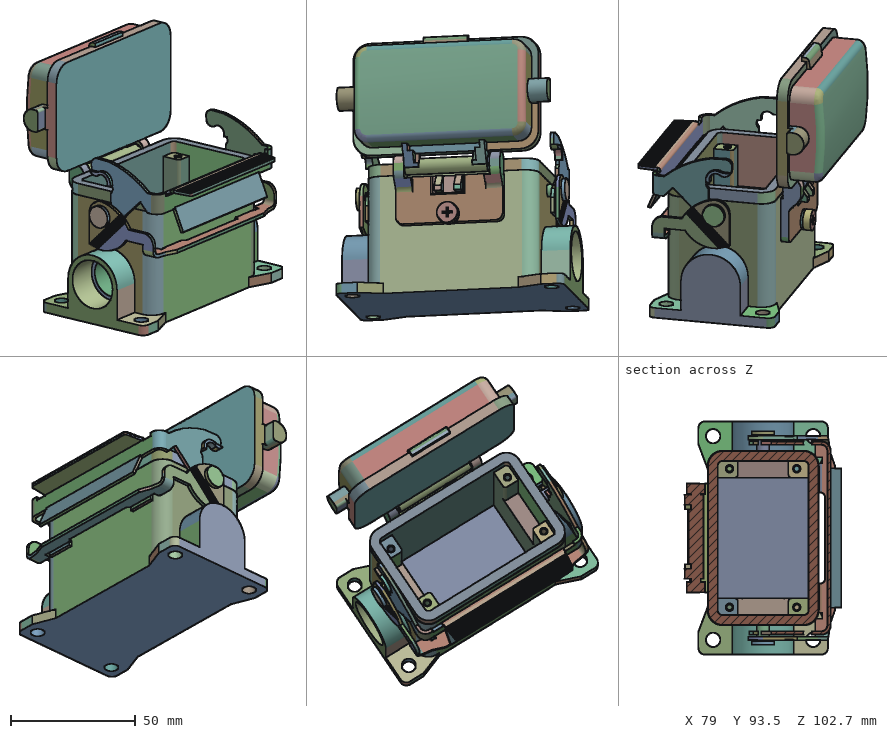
import cadquery as cq

HOUSING_X = 44.5
HOUSING_Y = 69.9
HOUSING_TOP = 52.9
HOUSING_CORNER = 6.0
COLLAR_BOTTOM = 48.1
COLLAR_SETBACK = 0.1
CAVITY_X = 36.3
CAVITY_Y = 61.5
CAVITY_CORNER = 1.7
PAD_TOP = COLLAR_BOTTOM
PAD_X = 8.0
PAD_Y = 6.6
PAD_CORNER = 1.2
LEDGE_TOP = 30.8
PAD_HOLE_X = 13.5
PAD_HOLE_Y = 27.7
PAD_HOLE_D = 2.3
PAD_HOLE_CHAMFER = 0.4
PAD_HOLE_DEPTH = 10.3

FLANGE_X = 52.0
FLANGE_Y = 93.5
FLANGE_T = 4.2
FLANGE_CORNER = 2.8
EAR_STRAIGHT_Y = 37.6
EAR_ROOT_Y = 27.6
MOUNT_HOLE_X = 20.0
MOUNT_HOLE_Y = 40.8
MOUNT_HOLE_D = 5.6

ENTRY_Z = 16.6
ENTRY_R = 12.3
ENTRY_BORE_R = 10.1
ENTRY_SHOULDER_Y = 34.1
ENTRY_HOLE_R = 8.4

COVER_OFFSET_Y = 0.5
COVER_Z = 78.1
COVER_INNER_X = -25.2
RIM_T = 4.5
RIM_Y = 75.8
RIM_Z = 45.9
RIM_CORNER = 7.2
SHELL_Y = 70.2
SHELL_Z = 39.6
SHELL_CORNER = 5.3
SHELL_CROWN_X = -43.6
CROWN_DROP = 1.5
SHELL_EDGE_R = 2.9
STUD_X = -33.2
STUD_R = 4.6
STUD_FLAT_X = -30.7
STUD_CORNER = 1.0
STUD_LENGTH_Y = 86.1
FINGER_TAB_Y = 18.1
FINGER_TAB_FACE_X = -27.5
COVER_TOP = 102.7

HINGE_X = -26.9
HINGE_Z = 51.4
HINGE_R = 3.7
HINGE_PIN_R = 2.0
PLATE_Y = 43.8
PLATE_FACE_X = -25.6
PLATE_BOTTOM = 27.3
PLATE_TOP = 46.4
PLATE_CORNER = 2.9
EAR_INNER_LOW = 15.0
EAR_INNER_HIGH = 17.6
EAR_STEP_Z = 45.3
EAR_BOTTOM = 40.3
LUG_OUTER = 16.8
LUG_INNER = 14.8
LUG_FOOT_INNER = 11.0
LUG_FOOT_TOP = 55.6
LUG_NOTCH_OUTER = 12.7
LUG_NOTCH_BOTTOM = 50.9
LUG_NOTCH_FACE_X = -29.0
BARREL_Z = 50.3
BARREL_R = 3.2
WINDOW_Y = 14.0
WINDOW_BOTTOM = 38.8
WINDOW_DEPTH = 0.8
WINDOW_TAPER = 40.0
CATCH_Y = 4.0
CATCH_WIDTH = 2.8
CATCH_TIP_X = -28.8
CATCH_TIP_TOP = 41.9
CATCH_BOTTOM = 39.8
SCREW_Z = 30.5
SCREW_R = 4.2
SCREW_HEAD = 4.1
WASHER_R = 4.1
WASHER_T = 0.9
CROSS_LENGTH = 3.9
CROSS_WIDTH = 0.7
CROSS_DEPTH = 0.8

PIVOT_Z = 44.1
PIVOT_R = 2.5
PIVOT_HEAD_R = 4.5
PIVOT_HEAD_INNER = 41.3
PIVOT_HEAD_OUTER = 42.8
SHEET_T = 1.4
HOOK_INNER = 37.3
ARM_INNER = 39.4
HOOK_RIM_OUTER = 40.2
THROAT_END = (3.8, 57.1)
THROAT_TIP = (-6.4, 61.5)
BAR_OUTER_X = 27.1
BAR_BOTTOM = 49.1
BAR_TOP = 57.4
BAR_BEND = 3.8
BAR_ARM_X = 21.6
GRIP_END_X = 35.4
GRIP_ROOT_HALF_Y = 29.0
GRIP_END_HALF_Y = 27.8
GRIP_CORNER = 1.0
GRIP_BEND = 1.3
LIP_TOP = 49.7
RELIEF_END_Y = 33.7
RELIEF_DEPTH = 1.5
KNURL_COUNT = 7
KNURL_PITCH = 0.98
KNURL_WIDTH = 0.5
KNURL_DEPTH = 0.3
ARM_END_X = 26.0
FOOT_BOTTOM = 31.0
FOOT_END_X = 28.9
TONGUE_X = 27.0
TONGUE_ROOT_HALF_Y = 33.9
TONGUE_END_HALF_Y = 28.8
FOOT_WINDOW_Y = 36.4
FOOT_START_X = 20.8
FOOT_WINDOW_X = 24.8
FOOT_WINDOW_CORNER = 1.8
FOOT_BEND = 3.1
ARM_BOTTOM = 34.1
TAB_INNER_X = 22.3
TAB_OUTER_X = 23.6
TAB_END_Y = 30.0
TAB_RELIEF_Y = 32.2
TAB_BOTTOM = 29.5
TAB_BEND = 1.2
STRIPE_COUNT = 5
STRIPE_PITCH = 0.8
STRIPE_WIDTH = 0.4
STRIPE_DEPTH = 0.3
STRIPE_HALF_LENGTH = 12.3
STRIPE_X = 3.4
STRIPE_Z = 37.8
STRIPE_ANGLE = 45


def box(x0, x1, y0, y1, z0, z1):
    return cq.Workplane("XY").box(x1 - x0, y1 - y0, z1 - z0, centered=False).translate((x0, y0, z0))


def extrude_y(sketch, y0, y1):
    """Extrude an XZ outline from y0 to y1."""
    return sketch.extrude(y0 - y1).translate((0, y0, 0))


def outline(points):
    return cq.Workplane("XZ").polyline(points).close()


def rod_y(x, z, radius, y0, y1):
    return extrude_y(cq.Workplane("XZ").center(x, z).circle(radius), y0, y1)


def both_ends(solid):
    return solid.union(solid.mirror("XZ"))


def rounded_slab(x0, x1, size_y, size_z, corner):
    """Upright slab with rounded corners, in the cover position."""
    slab = cq.Workplane("YZ").center(COVER_OFFSET_Y, COVER_Z).rect(size_y, size_z).extrude(x1 - x0)
    return slab.translate((x0, 0, 0)).edges("|X").fillet(corner)


def make_flange():
    half_x, half_y, wall_x = FLANGE_X / 2, FLANGE_Y / 2, HOUSING_X / 2
    end = (
        cq.Workplane("XY")
        .polyline([
            (-wall_x, 0), (-wall_x, EAR_ROOT_Y), (-half_x, EAR_STRAIGHT_Y), (-half_x, half_y),
            (half_x, half_y), (half_x, EAR_STRAIGHT_Y), (wall_x, EAR_ROOT_Y), (wall_x, 0),
        ])
        .close()
        .extrude(FLANGE_T)
    )
    end = end.edges("|Z and >Y").fillet(FLANGE_CORNER)
    holes = (
        cq.Workplane("XY")
        .rect(2 * MOUNT_HOLE_X, 2 * MOUNT_HOLE_Y, forConstruction=True)
        .vertices()
        .circle(MOUNT_HOLE_D / 2)
        .extrude(FLANGE_T)
    )
    return both_ends(end).cut(holes)


def make_housing():
    body = cq.Workplane("XY").rect(HOUSING_X, HOUSING_Y).extrude(COLLAR_BOTTOM)
    collar = (
        cq.Workplane("XY")
        .rect(HOUSING_X - 2 * COLLAR_SETBACK, HOUSING_Y - 2 * COLLAR_SETBACK)
        .extrude(HOUSING_TOP)
    )
    body = body.edges("|Z").fillet(HOUSING_CORNER)
    body = body.union(collar.edges("|Z").fillet(HOUSING_CORNER)).union(make_flange())

    half_y = FLANGE_Y / 2
    entry = rod_y(0, ENTRY_Z, ENTRY_R, -half_y, half_y)
    body = body.union(entry).union(box(-ENTRY_R, ENTRY_R, -half_y, half_y, 0, ENTRY_Z))

    cavity = cq.Workplane("XY").workplane(offset=FLANGE_T).rect(CAVITY_X, CAVITY_Y)
    cavity = cavity.extrude(HOUSING_TOP - FLANGE_T).edges("|Z").fillet(CAVITY_CORNER)
    x_end, y_end = CAVITY_X / 2, CAVITY_Y / 2
    ledge = box(-x_end, x_end, y_end - PAD_Y, y_end, FLANGE_T, LEDGE_TOP)
    for side in (-1, 1):
        pad = box(0, PAD_X, 0, PAD_Y, FLANGE_T, PAD_TOP)
        pad = pad.edges("|Z and <Y").edges("<X" if side > 0 else ">X").fillet(PAD_CORNER)
        pad = pad.translate((x_end - PAD_X if side > 0 else -x_end, y_end - PAD_Y, 0))
        ledge = ledge.union(pad)
    body = body.cut(cavity.cut(both_ends(ledge)))

    pad_hole = cq.Workplane("XY").circle(PAD_HOLE_D / 2).extrude(-PAD_HOLE_DEPTH)
    mouth = cq.Solid.makeCone(PAD_HOLE_D / 2, PAD_HOLE_D / 2 + PAD_HOLE_CHAMFER, PAD_HOLE_CHAMFER)
    pad_hole = pad_hole.union(cq.Workplane(mouth.translate(cq.Vector(0, 0, -PAD_HOLE_CHAMFER))))
    for x in (-PAD_HOLE_X, PAD_HOLE_X):
        for y in (-PAD_HOLE_Y, PAD_HOLE_Y):
            body = body.cut(pad_hole.translate((x, y, PAD_TOP)))

    bore = rod_y(0, ENTRY_Z, ENTRY_BORE_R, -half_y, -ENTRY_SHOULDER_Y)
    opening = rod_y(0, ENTRY_Z, ENTRY_HOLE_R, -half_y, -y_end + PAD_Y)
    return body.cut(bore).cut(opening)


def make_cover():
    rim_x = COVER_INNER_X - RIM_T
    rim = rounded_slab(rim_x, COVER_INNER_X, RIM_Y, RIM_Z, RIM_CORNER)

    shell = rounded_slab(SHELL_CROWN_X, rim_x, SHELL_Y, SHELL_Z, SHELL_CORNER)
    edge_x = SHELL_CROWN_X + CROWN_DROP
    low, high = COVER_Z - SHELL_Z / 2, COVER_Z + SHELL_Z / 2
    crowned = (
        cq.Workplane("XZ")
        .moveTo(rim_x, low)
        .lineTo(edge_x, low)
        .threePointArc((SHELL_CROWN_X, COVER_Z), (edge_x, high))
        .lineTo(rim_x, high)
        .close()
    )
    shell = shell.intersect(extrude_y(crowned, -HOUSING_Y, HOUSING_Y))
    shell = shell.faces("<X").edges().fillet(SHELL_EDGE_R)
    cover = rim.union(shell)

    stud_end = STUD_LENGTH_Y / 2
    y0, y1 = COVER_OFFSET_Y - stud_end, COVER_OFFSET_Y + stud_end
    stud = rod_y(STUD_X, COVER_Z, STUD_R, y0, y1)
    stud = stud.union(box(STUD_X, STUD_FLAT_X, y0, y1, COVER_Z - STUD_R, COVER_Z + STUD_R))
    stud = stud.intersect(box(STUD_X - STUD_R, STUD_FLAT_X, y0, y1, COVER_Z - STUD_R, COVER_Z + STUD_R))
    stud = stud.edges("|Y and >X").fillet(STUD_CORNER)
    rim_y0, rim_y1 = COVER_OFFSET_Y - RIM_Y / 2, COVER_OFFSET_Y + RIM_Y / 2
    rib = box(STUD_X, rim_x, rim_y0, rim_y1, COVER_Z - STUD_R, COVER_Z + STUD_R)

    finger_tab = (
        cq.Workplane("XZ")
        .moveTo(-31.2, high)
        .lineTo(-30.7, 101.0)
        .threePointArc((-30.1, 102.2), (-28.9, COVER_TOP))
        .lineTo(FINGER_TAB_FACE_X, COVER_TOP)
        .lineTo(FINGER_TAB_FACE_X, high)
        .close()
    )
    finger_tab = extrude_y(finger_tab, COVER_OFFSET_Y - FINGER_TAB_Y / 2, COVER_OFFSET_Y + FINGER_TAB_Y / 2)
    return cover.union(stud).union(rib).union(finger_tab)


def make_cover_hinge():
    """Two stepped lugs under the cover, joined by the hinge barrel."""
    top_x, top_z = -35.2, 58.5
    tip_x, tip_z = -30.5, 49.4
    foot_x = tip_x + (top_x - tip_x) * (LUG_FOOT_TOP - tip_z) / (top_z - tip_z)
    lug = [(top_x, top_z), (foot_x, LUG_FOOT_TOP), (tip_x, tip_z), (HINGE_X, tip_z), (HINGE_X, top_z)]
    foot = [(foot_x, LUG_FOOT_TOP), (tip_x, tip_z), (HINGE_X, tip_z), (HINGE_X, LUG_FOOT_TOP)]
    lugs = extrude_y(outline(lug), LUG_INNER, LUG_OUTER)
    lugs = lugs.union(extrude_y(outline(foot), LUG_FOOT_INNER, LUG_OUTER))
    notch = box(top_x, LUG_NOTCH_FACE_X, LUG_FOOT_INNER, LUG_NOTCH_OUTER, LUG_NOTCH_BOTTOM, LUG_FOOT_TOP)
    barrel = rod_y(HINGE_X, BARREL_Z, BARREL_R, -LUG_OUTER, LUG_OUTER)
    hinge = both_ends(lugs).union(barrel).cut(both_ends(notch))
    return hinge.translate((0, COVER_OFFSET_Y, 0))


def make_hinge_bracket():
    wall_x = -HOUSING_X / 2
    half_y = PLATE_Y / 2
    plate = box(PLATE_FACE_X, wall_x, -half_y, half_y, PLATE_BOTTOM, PLATE_TOP)
    plate = plate.edges("|X and <Z").fillet(PLATE_CORNER)
    window = (
        cq.Workplane("YZ")
        .center(0, PLATE_TOP)
        .rect(WINDOW_Y, 2 * (PLATE_TOP - WINDOW_BOTTOM))
        .extrude(WINDOW_DEPTH, taper=WINDOW_TAPER)
    )
    plate = plate.cut(window.translate((PLATE_FACE_X, COVER_OFFSET_Y, 0)))

    ear = (
        cq.Workplane("XZ")
        .moveTo(PLATE_FACE_X, EAR_BOTTOM)
        .threePointArc((-25.8, 41.4), (-26.4, 42.3))
        .lineTo(-29.4, 45.3)
        .threePointArc((-30.3, 46.7), (HINGE_X - HINGE_R, 48.2))
        .lineTo(HINGE_X - HINGE_R, HINGE_Z)
        .threePointArc((HINGE_X, HINGE_Z + HINGE_R), (HINGE_X + HINGE_R, HINGE_Z))
        .lineTo(HINGE_X + HINGE_R, PLATE_TOP)
        .lineTo(wall_x, PLATE_TOP)
        .lineTo(wall_x, EAR_BOTTOM)
        .close()
    )
    ears = extrude_y(ear, EAR_INNER_LOW, half_y)
    for x0, x1, z0 in ((HINGE_X - HINGE_R, PLATE_FACE_X, EAR_STEP_Z), (PLATE_FACE_X, wall_x, PLATE_TOP)):
        ears = ears.cut(box(x0, x1, EAR_INNER_LOW, EAR_INNER_HIGH, z0, HINGE_Z + HINGE_R))

    catch = [
        (wall_x, PLATE_TOP), (PLATE_FACE_X, PLATE_TOP), (CATCH_TIP_X, CATCH_TIP_TOP),
        (CATCH_TIP_X, CATCH_BOTTOM), (wall_x, CATCH_BOTTOM),
    ]
    catches = extrude_y(outline(catch), CATCH_Y - CATCH_WIDTH / 2, CATCH_Y + CATCH_WIDTH / 2)

    pin = rod_y(HINGE_X, HINGE_Z, HINGE_PIN_R, -half_y, half_y)
    screw_face = PLATE_FACE_X - SCREW_HEAD
    screw = cq.Workplane("YZ").center(0, SCREW_Z).circle(SCREW_R).extrude(SCREW_HEAD - WASHER_T)
    screw = screw.faces(">X").workplane().circle(WASHER_R).extrude(WASHER_T)
    screw = screw.translate((screw_face, 0, 0))
    for size_y, size_z in ((CROSS_LENGTH, CROSS_WIDTH), (CROSS_WIDTH, CROSS_LENGTH)):
        slot = cq.Workplane("YZ").center(0, SCREW_Z).rect(size_y, size_z).extrude(CROSS_DEPTH)
        screw = screw.cut(slot.translate((screw_face, 0, 0)))
    return plate.union(both_ends(ears)).union(both_ends(catches)).union(pin).union(screw)


def add_throat(sketch):
    """Add the inside of a hook, from the end of the throat out to the tip."""
    return (
        sketch
        .lineTo(2.4, 57.1)
        .lineTo(2.4, 58.6)
        .threePointArc((0.2, 61.0), (-2.7, 60.2))
        .threePointArc((-4.6, 60.2), THROAT_TIP)
    )


def make_hook_lever():
    """Inner sheet: two hooks, the bar that joins them, the knurled grip and a lip."""
    bend_x = BAR_OUTER_X - BAR_BEND
    hook = (
        cq.Workplane("XZ")
        .moveTo(-6.7, 64.0)
        .threePointArc((-5.8, 66.2), (-3.9, 67.0))
        .lineTo(2.2, 66.8)
        .threePointArc((12.4, 63.4), (BAR_ARM_X, BAR_TOP))
        .lineTo(bend_x, BAR_TOP)
        .lineTo(bend_x, BAR_BOTTOM)
        .lineTo(BAR_ARM_X, BAR_BOTTOM)
        .lineTo(17.9, 53.0)
        .lineTo(10.5, 45.8)
        .lineTo(2.1, 33.9)
        .lineTo(-5.5, 33.9)
        .lineTo(-5.5, 40.1)
        .lineTo(-3.9, PIVOT_Z)
        .lineTo(3.2, 49.3)
        .lineTo(3.2, 53.7)
        .lineTo(4.2, 55.5)
        .lineTo(*THROAT_END)
    )
    hook = add_throat(hook).close()
    rim = add_throat(cq.Workplane("XZ").moveTo(*THROAT_END))
    rim = rim.lineTo(-2.7, 61.7).threePointArc((2.0, 61.6), THROAT_END).close()
    hook_outer = HOOK_INNER + SHEET_T
    sides = extrude_y(hook, HOOK_INNER, hook_outer).union(extrude_y(rim, HOOK_INNER, HOOK_RIM_OUTER))

    band = box(0, BAR_OUTER_X, -hook_outer, hook_outer, BAR_BOTTOM, BAR_TOP)
    band = band.edges("|Z and >X").fillet(BAR_BEND)
    inside = box(0, BAR_OUTER_X - SHEET_T, -HOOK_INNER, HOOK_INNER, BAR_BOTTOM, BAR_TOP)
    inside = inside.edges("|Z and >X").fillet(BAR_BEND - SHEET_T)
    bar = band.cut(inside).intersect(box(bend_x, BAR_OUTER_X, -hook_outer, hook_outer, BAR_BOTTOM, BAR_TOP))

    inner_x = BAR_OUTER_X - SHEET_T
    grip = (
        cq.Workplane("XY")
        .workplane(offset=BAR_TOP - SHEET_T)
        .polyline([
            (inner_x, -GRIP_ROOT_HALF_Y), (GRIP_END_X, -GRIP_END_HALF_Y),
            (GRIP_END_X, GRIP_END_HALF_Y), (inner_x, GRIP_ROOT_HALF_Y),
        ])
        .close()
        .extrude(SHEET_T)
    )
    grip = grip.edges("|Z and >X").fillet(GRIP_CORNER)
    for index in range(KNURL_COUNT):
        x = GRIP_END_X - (index + 1) * KNURL_PITCH
        grip = grip.cut(box(x, x + KNURL_WIDTH, -HOUSING_Y, HOUSING_Y, BAR_TOP - KNURL_DEPTH, BAR_TOP))

    lip = [(inner_x, LIP_TOP), (BAR_OUTER_X, LIP_TOP), (31.3, 40.0), (30.2, 39.5)]
    lip = extrude_y(outline(lip), -GRIP_END_HALF_Y, GRIP_END_HALF_Y)
    relief = box(inner_x, BAR_OUTER_X, GRIP_ROOT_HALF_Y, RELIEF_END_Y, BAR_TOP - RELIEF_DEPTH, BAR_TOP)
    handle = bar.cut(both_ends(relief)).union(grip)
    handle = handle.edges(cq.NearestToPointSelector((inner_x, 0, BAR_TOP))).fillet(GRIP_BEND)
    return both_ends(sides).union(handle).union(lip)


def make_arm_lever():
    """Outer sheet: striped discs around the pivots, their arms and the foot that joins them."""
    arm = (
        cq.Workplane("XZ")
        .moveTo(-6.1, PIVOT_Z)
        .threePointArc((-4.3, 48.4), (0, 50.1))
        .threePointArc((8.9, 46.3), (13.7, 41.0))
        .lineTo(21.9, 41.0)
        .threePointArc((24.9, 39.4), (ARM_END_X, 36.2))
        .lineTo(ARM_END_X, ARM_BOTTOM)
        .lineTo(FOOT_START_X, ARM_BOTTOM)
        .lineTo(FOOT_START_X, 36.2)
        .lineTo(12.2, 36.2)
        .threePointArc((6.5, 31.0), (-1.1, 29.7))
        .lineTo(-6.1, 31.1)
        .close()
    )
    arm_outer = ARM_INNER + SHEET_T
    arm = extrude_y(arm, ARM_INNER, arm_outer)
    for index in range(STRIPE_COUNT):
        offset = (index - (STRIPE_COUNT - 1) / 2) * STRIPE_PITCH
        stripe = box(
            -STRIPE_HALF_LENGTH, STRIPE_HALF_LENGTH,
            arm_outer - STRIPE_DEPTH, arm_outer,
            offset - STRIPE_WIDTH / 2, offset + STRIPE_WIDTH / 2,
        )
        stripe = stripe.rotate((0, 0, 0), (0, 1, 0), -STRIPE_ANGLE)
        arm = arm.cut(stripe.translate((STRIPE_X, 0, STRIPE_Z)))

    foot_top = FOOT_BOTTOM + SHEET_T
    bend_top = ARM_BOTTOM + SHEET_T
    channel = box(FOOT_START_X, FOOT_END_X, -arm_outer, arm_outer, FOOT_BOTTOM, bend_top)
    channel = channel.edges("|X and <Z").fillet(FOOT_BEND)
    hollow = box(FOOT_START_X, FOOT_END_X, -ARM_INNER, ARM_INNER, foot_top, bend_top)
    hollow = hollow.edges("|X and <Z").fillet(FOOT_BEND - SHEET_T)
    plan = (
        cq.Workplane("XY")
        .workplane(offset=FOOT_BOTTOM)
        .polyline([
            (FOOT_START_X, arm_outer), (ARM_END_X, arm_outer),
            (TONGUE_X, TONGUE_ROOT_HALF_Y), (FOOT_END_X, TONGUE_END_HALF_Y),
            (FOOT_END_X, -TONGUE_END_HALF_Y), (TONGUE_X, -TONGUE_ROOT_HALF_Y),
            (ARM_END_X, -arm_outer), (FOOT_START_X, -arm_outer),
        ])
        .close()
        .extrude(ARM_BOTTOM - FOOT_BOTTOM)
    )
    half_window = FOOT_WINDOW_Y / 2
    window = box(FOOT_START_X, FOOT_WINDOW_X, -half_window, half_window, FOOT_BOTTOM, foot_top)
    window = window.edges("|Z and >X").fillet(FOOT_WINDOW_CORNER)
    relief = box(FOOT_START_X, TAB_OUTER_X, half_window, TAB_RELIEF_Y, FOOT_BOTTOM, foot_top)
    tab = box(TAB_INNER_X, TAB_OUTER_X, half_window, TAB_END_Y, TAB_BOTTOM, foot_top)
    tab = tab.edges("|Y and >Z and <X").fillet(TAB_BEND)
    foot = channel.cut(hollow).intersect(plan).cut(window).cut(both_ends(relief)).union(both_ends(tab))
    return both_ends(arm).union(foot)


def make_pivot():
    neck = rod_y(0, PIVOT_Z, PIVOT_R, HOUSING_Y / 2, PIVOT_HEAD_INNER)
    return both_ends(neck.union(rod_y(0, PIVOT_Z, PIVOT_HEAD_R, PIVOT_HEAD_INNER, PIVOT_HEAD_OUTER)))


result = make_housing()
for part in (make_cover(), make_cover_hinge(), make_hinge_bracket(),
             make_hook_lever(), make_arm_lever(), make_pivot()):
    result = result.union(part)